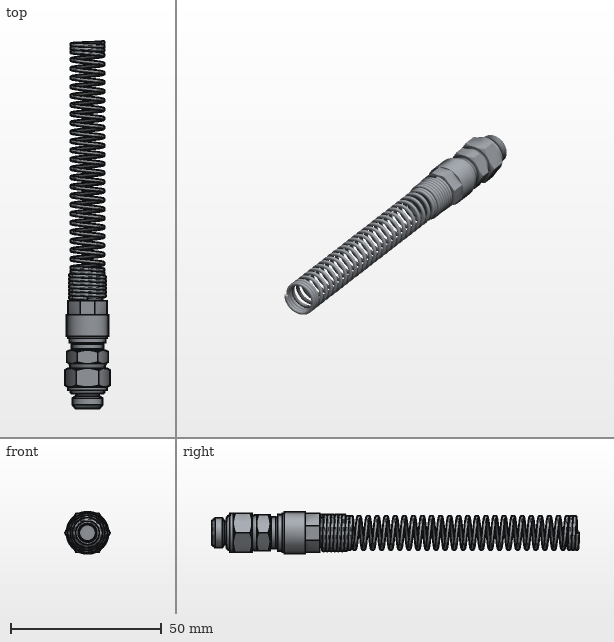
import math

import cadquery as cq


FULL_LENGTH = 121.9

THREAD_CHAMFER_END = 1.25
THREAD_REAR_CHAMFER_START = 3.55
THREAD_REAR = 4.2
SEAT_FRONT = 4.9
SEAT_REAR = 6.1
BIG_HEX_FRONT = 7.2
BIG_HEX_REAR = 13.4
SHOULDER_FRONT = 14.5
SMALL_HEX_FRONT = 14.9
SMALL_HEX_REAR = 19.4
UNDERCUT_REAR = 19.8
NECK_REAR = 21.3
STEP_GROOVE_REAR = 21.9
STEP_REAR = 23.4
COLLAR_FRONT = 24.1
COLLAR_REAR = 31.1
OCTAGON_REAR = 35.85
SPIGOT_REAR = 43.8

THREAD_RADIUS = 5.0
THREAD_CORE_RADIUS = 3.9
BORE_RADIUS = 3.1
BORE_DEPTH = 0.4
BORE_FLOOR_RADIUS = 2.7
SEAT_RADIUS = 5.8
BIG_HEX_FLATS = 13.0
SMALL_HEX_FLATS = 12.0
HEX_CHAMFER_HEIGHT = 0.6
RELIEF_RADIUS = 5.7
SHOULDER_RADIUS = 6.0
UNDERCUT_RADIUS = 5.0
NECK_RADIUS = 5.35
STEP_GROOVE_RADIUS = 5.2
STEP_RADIUS = 6.1
COLLAR_LIP_RADIUS = 6.5
COLLAR_RADIUS = 7.0
OCTAGON_FLATS = 13.0
OCTAGON_DIAGONAL_FLATS = 12.6
SPIGOT_RADIUS = 5.0

WIRE_RADIUS = 0.6
SPIGOT_CLEARANCE = 0.02
START_GAP = 0.1
FREE_COIL_RADIUS = 5.15
SPIGOT_COIL_RADIUS = SPIGOT_RADIUS + WIRE_RADIUS + SPIGOT_CLEARANCE
CLOSED_PITCH = 1.22
SPRING_START = OCTAGON_REAR + WIRE_RADIUS + START_GAP
SPRING_END = FULL_LENGTH - WIRE_RADIUS
FRONT_CLOSED_TURNS = 8.25
FREE_TURNS = 23.75
REAR_CLOSED_TURNS = 2.75
TOTAL_TURNS = FRONT_CLOSED_TURNS + FREE_TURNS + REAR_CLOSED_TURNS
CLOSED_TURNS = FRONT_CLOSED_TURNS + REAR_CLOSED_TURNS
FREE_PITCH = (SPRING_END - SPRING_START - CLOSED_TURNS * CLOSED_PITCH) / FREE_TURNS
BLEND_TURNS = 0.5
NARROWING_TURN = 6.6
POINTS_PER_TURN = 12


def revolved(points):
    """Solid of revolution about Y from (radius, y) points."""
    return cq.Workplane("XY").polyline(points).close().revolve(360, (0, 0, 0), (0, 1, 0))


def prism(sides, flats, front, rear, turn=0.0):
    """Regular prism along Y with the given width across flats; a corner on X before the turn."""
    corner_diameter = flats / math.cos(math.pi / sides)
    blank = cq.Workplane("XZ", origin=(0, front, 0)).polygon(sides, corner_diameter).extrude(front - rear)
    return blank.rotate((0, 0, 0), (0, 1, 0), turn)


def hexagon(flats, front, rear):
    """Hexagon with corners on X, both ends turned down to a cone that meets the flats."""
    flat_radius = flats / 2
    corner_radius = flat_radius / math.cos(math.pi / 6)
    envelope = revolved([
        (0, front),
        (flat_radius, front),
        (corner_radius, front + HEX_CHAMFER_HEIGHT),
        (corner_radius, rear - HEX_CHAMFER_HEIGHT),
        (flat_radius, rear),
        (0, rear),
    ])
    return prism(6, flats, front, rear).intersect(envelope)


def make_turned_core():
    """Every round step of the fitting, from the thread to the hose spigot."""
    return revolved([
        (0, 0),
        (THREAD_CORE_RADIUS, 0),
        (THREAD_RADIUS, THREAD_CHAMFER_END),
        (THREAD_RADIUS, THREAD_REAR_CHAMFER_START),
        (THREAD_CORE_RADIUS, THREAD_REAR),
        (THREAD_CORE_RADIUS, SEAT_REAR),
        (BIG_HEX_FLATS / 2, SEAT_REAR),
        (BIG_HEX_FLATS / 2, BIG_HEX_FRONT),
        (RELIEF_RADIUS, BIG_HEX_FRONT),
        (RELIEF_RADIUS, BIG_HEX_REAR),
        (SHOULDER_RADIUS, SHOULDER_FRONT),
        (SHOULDER_RADIUS, SMALL_HEX_FRONT),
        (UNDERCUT_RADIUS, SMALL_HEX_FRONT),
        (UNDERCUT_RADIUS, UNDERCUT_REAR),
        (NECK_RADIUS, UNDERCUT_REAR),
        (NECK_RADIUS, NECK_REAR),
        (STEP_GROOVE_RADIUS, NECK_REAR),
        (STEP_GROOVE_RADIUS, STEP_GROOVE_REAR),
        (STEP_RADIUS, STEP_GROOVE_REAR),
        (STEP_RADIUS, STEP_REAR),
        (COLLAR_LIP_RADIUS, STEP_REAR),
        (COLLAR_LIP_RADIUS, COLLAR_FRONT),
        (COLLAR_RADIUS, COLLAR_FRONT),
        (COLLAR_RADIUS, COLLAR_REAR),
        (SPIGOT_RADIUS, COLLAR_REAR),
        (SPIGOT_RADIUS, SPIGOT_REAR),
        (0, SPIGOT_REAR),
    ])


def make_seat():
    """Sealing ring in front of the big hexagon, its front edge rounded as a quarter circle."""
    rounding = SEAT_REAR - SEAT_FRONT
    crown_radius = SEAT_RADIUS - rounding
    diagonal = rounding * math.sqrt(0.5)
    profile = (
        cq.Workplane("XY")
        .moveTo(0, SEAT_FRONT)
        .lineTo(crown_radius, SEAT_FRONT)
        .threePointArc((crown_radius + diagonal, SEAT_REAR - diagonal), (SEAT_RADIUS, SEAT_REAR))
        .lineTo(0, SEAT_REAR)
        .close()
    )
    return profile.revolve(360, (0, 0, 0), (0, 1, 0))


def make_octagon():
    """Eight spanner flats, the four diagonal ones slightly closer to the axis."""
    upright = prism(4, OCTAGON_FLATS, COLLAR_REAR, OCTAGON_REAR, 45)
    diagonal = prism(4, OCTAGON_DIAGONAL_FLATS, COLLAR_REAR, OCTAGON_REAR)
    return upright.intersect(diagonal)


def make_bore():
    """Shallow blind recess in the threaded end, narrowing to its floor."""
    return revolved([
        (0, 0),
        (BORE_RADIUS, 0),
        (BORE_FLOOR_RADIUS, BORE_DEPTH),
        (0, BORE_DEPTH),
    ])


def make_fitting():
    fitting = make_turned_core().union(make_seat())
    fitting = fitting.union(hexagon(BIG_HEX_FLATS, BIG_HEX_FRONT, BIG_HEX_REAR))
    fitting = fitting.union(hexagon(SMALL_HEX_FLATS, SMALL_HEX_FRONT, SMALL_HEX_REAR))
    fitting = fitting.union(make_octagon())
    return fitting.cut(make_bore()).solids()


def smooth_step(turn, centre):
    """Rises smoothly from 0 to 1 over BLEND_TURNS around the given turn."""
    share = min(max((turn - centre) / BLEND_TURNS + 0.5, 0.0), 1.0)
    return share * share * (3 - 2 * share)


def eased_ramp(turn, centre):
    """Turns past the given turn, with the corner at zero rounded over BLEND_TURNS."""
    past = turn - centre
    half = BLEND_TURNS / 2
    if abs(past) >= half:
        return max(past, 0.0)
    return (past + half) ** 2 / (2 * BLEND_TURNS)


def coil_point(turn):
    """Centre of the wire; the coil starts on +Z and winds towards -X as Y grows."""
    angle = 2 * math.pi * turn
    radius = SPIGOT_COIL_RADIUS
    radius += (FREE_COIL_RADIUS - SPIGOT_COIL_RADIUS) * smooth_step(turn, NARROWING_TURN)
    open_turns = eased_ramp(turn, FRONT_CLOSED_TURNS)
    open_turns -= eased_ramp(turn, FRONT_CLOSED_TURNS + FREE_TURNS)
    y = SPRING_START + CLOSED_PITCH * turn + (FREE_PITCH - CLOSED_PITCH) * open_turns
    return cq.Vector(-radius * math.sin(angle), y, radius * math.cos(angle))


def make_spring():
    intervals = round(TOTAL_TURNS * POINTS_PER_TURN)
    points = [coil_point(TOTAL_TURNS * i / intervals) for i in range(intervals + 1)]
    path = cq.Workplane("XY").newObject([cq.Edge.makeSpline(points)])
    start_plane = cq.Plane(origin=points[0], xDir=(0, 0, 1), normal=points[1] - points[0])
    return cq.Workplane(start_plane).circle(WIRE_RADIUS).sweep(path, isFrenet=True)


fitting = make_fitting()
spring = make_spring()

result = cq.Compound.makeCompound([fitting.val(), spring.val()])